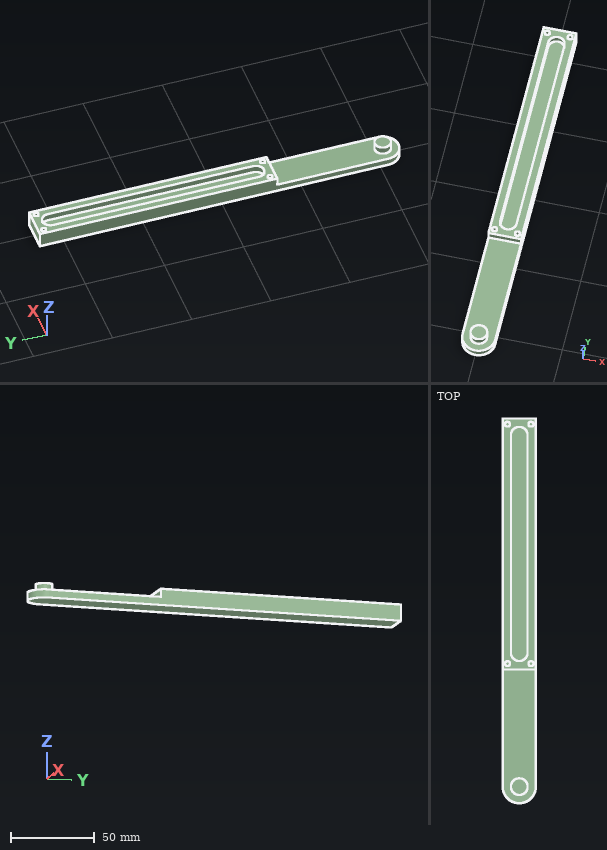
import cadquery as cq

total_length = 230.0
width = 20.0
height = width / 2
block_length = 150.0
tongue_thickness = height / 2
pin_diameter = width / 2

slot_width = width / 2
slot_end_margin = width / 4
slot_length = block_length - 2 * slot_end_margin
slot_depth = height / 2

hole_diameter = 3.0
hole_side_inset = 3.0
hole_end_inset = 3.5
hole_depth = height / 2

end_radius = width / 2
bar_end = total_length - end_radius
block_start = bar_end - block_length
block_center = block_start + block_length / 2


def make_tongue():
    """Thin bar along the full length, with one round end."""
    return (
        cq.Workplane("XY")
        .moveTo(-end_radius, 0)
        .threePointArc((0, -end_radius), (end_radius, 0))
        .lineTo(end_radius, bar_end)
        .lineTo(-end_radius, bar_end)
        .close()
        .extrude(tongue_thickness)
    )


def make_block():
    """Thick portion of the bar."""
    return (
        cq.Workplane("XY")
        .center(0, block_center)
        .box(width, block_length, height, centered=(True, True, False))
    )


def make_pin():
    """Pin concentric with the round end, level with the block top."""
    return cq.Workplane("XY").circle(pin_diameter / 2).extrude(height)


def make_slot():
    """Round-ended pocket sunk from the block top."""
    return (
        cq.Workplane("XY", origin=(0, block_center, height))
        .slot2D(slot_length, slot_width, angle=90)
        .extrude(-slot_depth)
    )


def make_corner_holes():
    """Blind holes near the four corners of the block top."""
    return (
        cq.Workplane("XY", origin=(0, block_center, height))
        .rect(width - 2 * hole_side_inset, block_length - 2 * hole_end_inset, forConstruction=True)
        .vertices()
        .circle(hole_diameter / 2)
        .extrude(-hole_depth)
    )


bar = make_tongue().union(make_block()).union(make_pin())
result = bar.cut(make_slot()).cut(make_corner_holes())